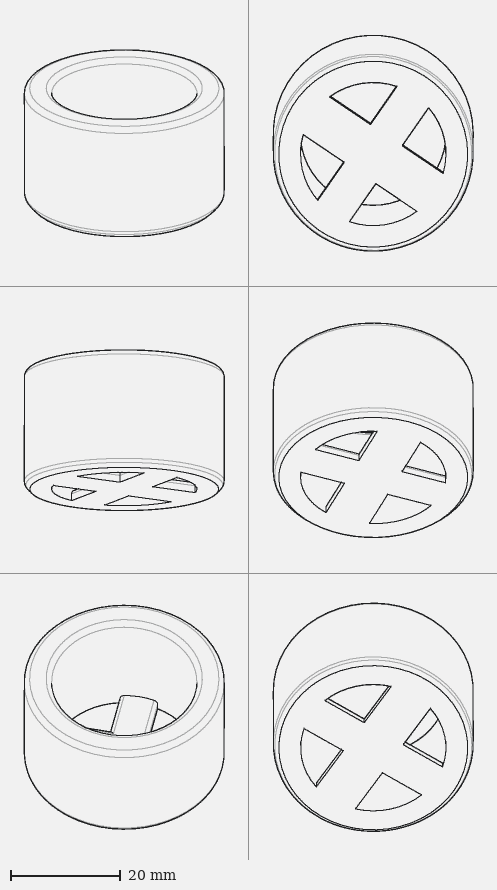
import cadquery as cq

outer_diameter = 36.5
bore_diameter = 26.5
height = 22.0
rim_round = 1.0
base_bevel_inset = 1.02
base_bevel_height = 1.05
bevel_blend = 1.0

x_arm_width = 8.5
y_arm_width = 7.0
floor_thickness = 2.0
arm_edge_round = 0.73

outer_radius = outer_diameter / 2
bore_radius = bore_diameter / 2


def make_ring():
    """Revolved ring with a beveled base and a rounded top rim."""
    profile = (
        cq.Workplane("XZ")
        .moveTo(bore_radius, 0)
        .lineTo(outer_radius - base_bevel_inset, 0)
        .lineTo(outer_radius, base_bevel_height)
        .lineTo(outer_radius, height)
        .lineTo(bore_radius, height)
        .close()
    )
    ring = profile.revolve(360, (0, 0, 0), (0, 1, 0))
    ring = ring.edges("%CIRCLE").edges(">>Z[1]").fillet(bevel_blend)
    return ring.faces(">Z").edges().fillet(rim_round)


def make_cross():
    """Two crossing arms with rounded top edges, trimmed inside the ring wall."""
    def arm(size_x, size_y):
        return cq.Workplane("XY").box(size_x, size_y, floor_thickness, centered=(True, True, False))

    trim_diameter = (outer_diameter + bore_diameter) / 2
    cross = arm(outer_diameter, x_arm_width).union(arm(y_arm_width, outer_diameter))
    cross = cross.faces(">Z").edges().fillet(arm_edge_round)
    trim = cq.Workplane("XY").circle(trim_diameter / 2).extrude(floor_thickness)
    return cross.intersect(trim)


result = make_ring().union(make_cross())